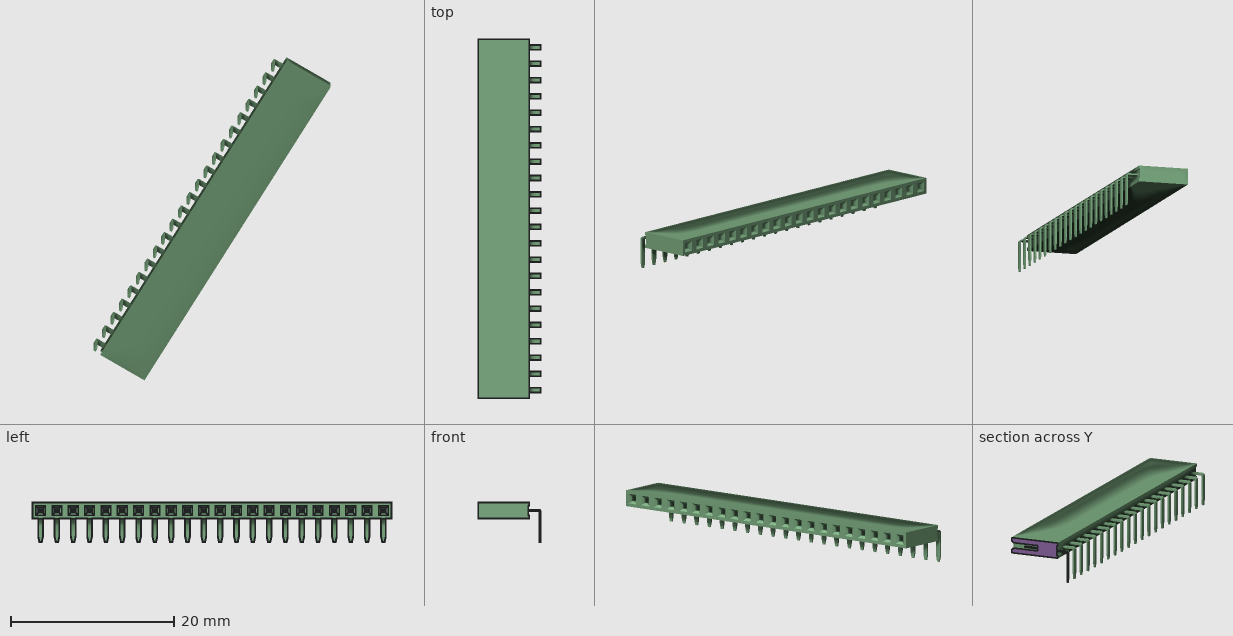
import cadquery as cq

pin_count = 22
housing_length = 44.0
pitch = housing_length / pin_count
housing_depth = 6.3
housing_height = 2.0
standoff_height = 0.4
standoff_depth = 0.15

overall_depth = 7.7
overall_height = 4.9
pin_width = 0.6
pin_thickness = 0.2
bend_outer_radius = 0.3
bend_inner_radius = bend_outer_radius - pin_thickness
tip_width = 0.3
tip_length = 0.7
pin_embedment = 0.45

funnel_mouth = 1.2
funnel_throat = 0.6
funnel_depth = (funnel_mouth - funnel_throat) / 2
socket_depth = 3.5
contact_width = 0.5
contact_reach = 1.75

pin_mid_z = housing_height / 2
pin_top_z = pin_mid_z + pin_thickness / 2
pin_bottom_z = pin_mid_z - pin_thickness / 2
pin_end_z = housing_height - overall_height
rear_wall_x = housing_depth - standoff_depth
pin_positions = [(i - (pin_count - 1) / 2) * pitch for i in range(pin_count)]


def make_housing():
    """Bar with a shallow channel along its rear, leaving a rib at the top and bottom."""
    bar = cq.Workplane("XY").box(
        housing_depth, housing_length, housing_height, centered=(False, True, False)
    )
    channel = cq.Workplane("XY").box(
        standoff_depth,
        housing_length,
        housing_height - 2 * standoff_height,
        centered=(False, True, True),
    )
    return bar.cut(channel.translate((rear_wall_x, 0, pin_mid_z)))


def make_socket():
    """Square blind hole with a pyramid-shaped lead-in, centred on y = 0."""
    mouth_plane = cq.Workplane("YZ", origin=(0, 0, pin_mid_z))
    funnel = (
        mouth_plane.rect(funnel_mouth, funnel_mouth)
        .workplane(offset=funnel_depth)
        .rect(funnel_throat, funnel_throat)
        .loft(ruled=True)
    )
    hole = mouth_plane.rect(funnel_throat, funnel_throat).extrude(socket_depth)
    return funnel.union(hole)


def make_contact():
    """Thin tongue standing on the socket floor."""
    return (
        cq.Workplane("YZ", origin=(socket_depth - contact_reach, 0, pin_mid_z))
        .rect(contact_width, pin_thickness)
        .extrude(contact_reach + pin_embedment)
    )


def make_pin():
    """Flat strip leaving the rear wall, bent down and tapered across its width at the tip."""
    strip = (
        cq.Workplane("XZ")
        .moveTo(rear_wall_x - pin_embedment, pin_top_z)
        .lineTo(overall_depth - bend_outer_radius, pin_top_z)
        .radiusArc((overall_depth, pin_top_z - bend_outer_radius), bend_outer_radius)
        .lineTo(overall_depth, pin_end_z)
        .lineTo(overall_depth - pin_thickness, pin_end_z)
        .lineTo(overall_depth - pin_thickness, pin_bottom_z - bend_inner_radius)
        .radiusArc((overall_depth - bend_outer_radius, pin_bottom_z), -bend_inner_radius)
        .lineTo(rear_wall_x - pin_embedment, pin_bottom_z)
        .close()
        .extrude(pin_width / 2, both=True)
    )
    face_outline = (
        cq.Workplane("YZ")
        .moveTo(-pin_width / 2, pin_top_z)
        .lineTo(-pin_width / 2, pin_end_z + tip_length)
        .lineTo(-tip_width / 2, pin_end_z)
        .lineTo(tip_width / 2, pin_end_z)
        .lineTo(pin_width / 2, pin_end_z + tip_length)
        .lineTo(pin_width / 2, pin_top_z)
        .close()
        .extrude(overall_depth)
    )
    return strip.intersect(face_outline)


socket = make_socket()
contact = make_contact()
pin = make_pin()

result = make_housing()
for y in pin_positions:
    result = result.cut(socket.translate((0, y, 0)))
    result = result.union(contact.translate((0, y, 0)))
    result = result.union(pin.translate((0, y, 0)))